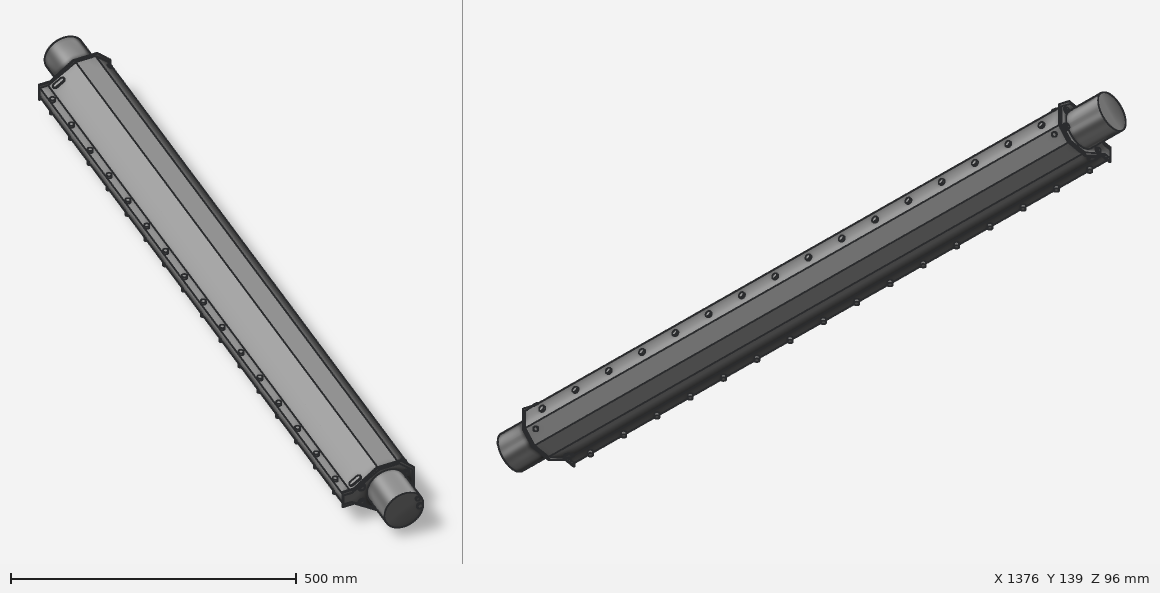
import cadquery as cq

TOTAL_LENGTH = 1376.0
TOTAL_DEPTH = 139.0
TOTAL_HEIGHT = 96.0
CONNECTOR_HEIGHT = 3.0
TUBE_LENGTH = TOTAL_LENGTH - CONNECTOR_HEIGHT
TUBE_START = -TOTAL_LENGTH / 2
TUBE_END = TUBE_START + TUBE_LENGTH
PLATE_SPAN = 1229.0
PLATE_THICKNESS = 3.0
HOUSING_OVERHANG = 0.7
HOUSING_LENGTH = PLATE_SPAN + 2 * HOUSING_OVERHANG

TUBE_DIAMETER = 76.0
TUBE_Y = 15.0

PLATE_HALF_HEIGHT = TOTAL_HEIGHT / 2
PLATE_BACK_Y = TOTAL_DEPTH / 2
PLATE_FRONT_Y = -TOTAL_DEPTH / 2
PLATE_LIP_HALF = 17.0
PLATE_CORNERS = [
    (PLATE_BACK_Y, 23.0),
    (44.0, PLATE_HALF_HEIGHT),
    (-3.0, PLATE_HALF_HEIGHT),
    (-47.0, PLATE_LIP_HALF),
    (PLATE_FRONT_Y, PLATE_LIP_HALF),
]

FLANGE_WIDTH = 4.0
HOUSING_HALF_HEIGHT = PLATE_HALF_HEIGHT - FLANGE_WIDTH
HOUSING_BACK_Y = PLATE_BACK_Y - FLANGE_WIDTH
HOUSING_BACK_HALF = 20.0
CHAMFER_TOP_Y = 40.0
SLOPE_TOP_Y = 1.0
LIP_ROOT_Y = -52.0
LIP_SETBACK = 1.0
LIP_FRONT_Y = PLATE_FRONT_Y + LIP_SETBACK
LIP_HALF = 10.3
HOUSING_CORNERS = [
    (HOUSING_BACK_Y, HOUSING_BACK_HALF),
    (CHAMFER_TOP_Y, HOUSING_HALF_HEIGHT),
    (SLOPE_TOP_Y, HOUSING_HALF_HEIGHT),
    (LIP_ROOT_Y, LIP_HALF),
    (LIP_FRONT_Y, LIP_HALF),
]

ROW_COUNT = 16
ROW_LENGTH = 1142.0
ROW_PITCH = ROW_LENGTH / (ROW_COUNT - 1)
LIP_SCREW_DIAMETER = 9.5
LIP_SCREW_Y = -63.0
LIP_SCREW_TOP_Z = 15.0
LIP_SCREW_BOTTOM_Z = -18.0
BACK_SCREW_DIAMETER = 11.0
BACK_SCREW_HEIGHT = FLANGE_WIDTH

SLOPE_CLIP_X = 599.0
SLOPE_CLIP_Y = -37.0
SLOPE_CLIP_LENGTH = 25.0
SLOPE_CLIP_WIDTH = 9.0
SLOPE_CLIP_HEIGHT = 3.0
CHAMFER_SCREW_X = 593.0
CHAMFER_SCREW_Y = 58.0
CHAMFER_SCREW_DIAMETER = 9.0
CHAMFER_SCREW_HEIGHT = 3.0
PLATE_SCREW_DIAMETER = 9.0
PLATE_SCREW_HEIGHT = 4.0
PLATE_WASHER_DIAMETER = 14.0
PLATE_WASHER_HEIGHT = 1.0
PLATE_SCREW_PLACES = [(52.0, 19.0), (-33.0, 17.0)]

CONNECTORS = [(41.0, 18.0, 7.6), (45.0, 0.0, 11.0)]

SINK = 3.0


def prism(upper_corners, length):
    """Bar along X, centred on the housing, from the upper half of its outline."""
    lower_corners = [(y, -z) for y, z in reversed(upper_corners)]
    outline = cq.Workplane("YZ", origin=(-length / 2, 0, 0))
    return outline.polyline(upper_corners + lower_corners).close().extrude(length)


def raised_plane(point, normal):
    """Plane sunk a little below a point of a face, with its x axis along X."""
    sunk = cq.Vector(*point) - cq.Vector(*normal).normalized() * SINK
    return cq.Workplane(cq.Plane(origin=sunk.toTuple(), xDir=(1, 0, 0), normal=normal))


def rod_along_x(x_start, length, y, z, diameter):
    return cq.Workplane("YZ", origin=(x_start, y, z)).circle(diameter / 2).extrude(length)


def end_plate(side):
    offset = side * (PLATE_SPAN - PLATE_THICKNESS) / 2
    return prism(PLATE_CORNERS, PLATE_THICKNESS).translate((offset, 0, 0))


def row_screws(x):
    """One screw through the lip and one head on the back face."""
    lip = cq.Workplane("XY", origin=(x, LIP_SCREW_Y, LIP_SCREW_BOTTOM_Z))
    lip_screw = lip.circle(LIP_SCREW_DIAMETER / 2).extrude(LIP_SCREW_TOP_Z - LIP_SCREW_BOTTOM_Z)
    back = raised_plane((x, HOUSING_BACK_Y, 0), (0, 1, 0))
    return lip_screw.union(back.circle(BACK_SCREW_DIAMETER / 2).extrude(SINK + BACK_SCREW_HEIGHT))


def slope_clip(side):
    """Long rounded clip on the upper slope, pointing down the slope."""
    run = SLOPE_TOP_Y - LIP_ROOT_Y
    drop = HOUSING_HALF_HEIGHT - LIP_HALF
    z = LIP_HALF + (SLOPE_CLIP_Y - LIP_ROOT_Y) * drop / run
    face = raised_plane((side * SLOPE_CLIP_X, SLOPE_CLIP_Y, z), (0, -drop, run))
    return face.slot2D(SLOPE_CLIP_LENGTH, SLOPE_CLIP_WIDTH, 90).extrude(SINK + SLOPE_CLIP_HEIGHT)


def chamfer_screw(side):
    """Screw head on the upper back chamfer."""
    run = HOUSING_BACK_Y - CHAMFER_TOP_Y
    drop = HOUSING_HALF_HEIGHT - HOUSING_BACK_HALF
    z = HOUSING_BACK_HALF + (HOUSING_BACK_Y - CHAMFER_SCREW_Y) * drop / run
    face = raised_plane((side * CHAMFER_SCREW_X, CHAMFER_SCREW_Y, z), (0, drop, run))
    return face.circle(CHAMFER_SCREW_DIAMETER / 2).extrude(SINK + CHAMFER_SCREW_HEIGHT)


def plate_screw(side, y, z):
    """Screw head on a washer, on the outer face of an end plate."""
    face = cq.Plane(origin=(side * PLATE_SPAN / 2, y, z), xDir=(0, 1, 0), normal=(side, 0, 0))
    washer = cq.Workplane(face).circle(PLATE_WASHER_DIAMETER / 2).extrude(PLATE_WASHER_HEIGHT)
    head = cq.Workplane(face).circle(PLATE_SCREW_DIAMETER / 2).extrude(PLATE_SCREW_HEIGHT)
    return washer.union(head)


def mirrored_below(feature):
    return feature.union(feature.mirror("XY"))


result = prism(HOUSING_CORNERS, HOUSING_LENGTH)
result = result.union(rod_along_x(TUBE_START, TUBE_LENGTH, TUBE_Y, 0, TUBE_DIAMETER))

for side in (-1, 1):
    result = result.union(end_plate(side))
    result = result.union(mirrored_below(slope_clip(side)))
    result = result.union(mirrored_below(chamfer_screw(side)))
    for y, z in PLATE_SCREW_PLACES:
        result = result.union(mirrored_below(plate_screw(side, y, z)))

for index in range(ROW_COUNT):
    result = result.union(row_screws(index * ROW_PITCH - ROW_LENGTH / 2))

for y, z, diameter in CONNECTORS:
    length = SINK + CONNECTOR_HEIGHT
    result = result.union(rod_along_x(TUBE_END - SINK, length, y, z, diameter))